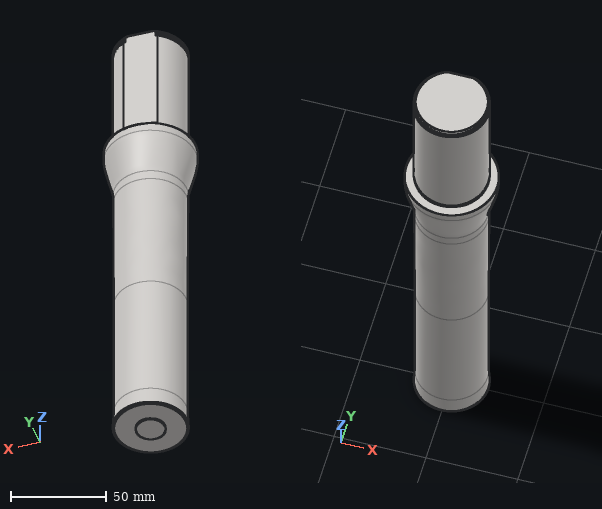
import cadquery as cq

total_height = 263.0
collar_top = 193.0
collar_base = 188.0
sleeve_top = 164.0
blend_pull = 5.3
sleeve_base = 158.5
grip_top = 86.8
grip_base = 11.5
foot_bottom = 0.8
foot_chamfer = 0.8

collar_diameter = 49.5
sleeve_diameter = 39.5
grip_diameter = 39.0
foot_diameter = 40.0
foot_boss_diameter = 15.8

plug_diameter = 40.0
neck_diameter = 39.0
plug_base = 195.0
top_groove_base = 259.5
top_groove_top = 261.7
top_chamfer = 1.0
flat_distance = 17.5
flat_base = 198.0
flat_runout_drop = 1.0


def make_handle():
    """Turned handle with a flared collar on top and a small boss underneath."""
    foot_radius = foot_diameter / 2
    profile = (
        cq.Workplane("XZ")
        .moveTo(0, 0)
        .lineTo(foot_boss_diameter / 2, 0)
        .lineTo(foot_boss_diameter / 2, foot_bottom)
        .lineTo(foot_radius - foot_chamfer, foot_bottom)
        .lineTo(foot_radius, foot_bottom + foot_chamfer)
        .spline(
            [(grip_diameter / 2, grip_base)],
            tangents=[(0, 1), (0, 1)],
            includeCurrent=True,
        )
        .lineTo(grip_diameter / 2, grip_top)
        .lineTo(sleeve_diameter / 2, sleeve_base)
        .lineTo(sleeve_diameter / 2, sleeve_top)
        .bezier(
            [
                (sleeve_diameter / 2, sleeve_top + blend_pull),
                (collar_diameter / 2, collar_base - blend_pull),
                (collar_diameter / 2, collar_base),
            ],
            includeCurrent=True,
        )
        .lineTo(collar_diameter / 2, collar_top)
        .lineTo(0, collar_top)
        .close()
    )
    return profile.revolve(360, (0, 0, 0), (0, 1, 0))


def make_plug():
    """Cylinder standing on the collar, with a neck, a top groove and a side flat."""
    plug_radius = plug_diameter / 2
    neck_radius = neck_diameter / 2
    lip_bevel = plug_radius - neck_radius
    profile = (
        cq.Workplane("XZ")
        .moveTo(0, collar_top)
        .lineTo(neck_radius, collar_top)
        .lineTo(neck_radius, plug_base - lip_bevel)
        .lineTo(plug_radius, plug_base)
        .lineTo(plug_radius, top_groove_base)
        .lineTo(neck_radius, top_groove_base)
        .lineTo(neck_radius, top_groove_top - lip_bevel)
        .lineTo(plug_radius, top_groove_top)
        .lineTo(plug_radius - top_chamfer, total_height)
        .lineTo(0, total_height)
        .close()
    )
    plug = profile.revolve(360, (0, 0, 0), (0, 1, 0))
    flat_cutter = (
        cq.Workplane("YZ")
        .moveTo(flat_distance, total_height)
        .lineTo(flat_distance, flat_base)
        .lineTo(plug_radius, flat_base - flat_runout_drop)
        .lineTo(plug_radius, total_height)
        .close()
        .extrude(plug_radius, both=True)
    )
    return plug.cut(flat_cutter)


handle = make_handle()
plug = make_plug()

result = cq.Compound.makeCompound([handle.val(), plug.val()])